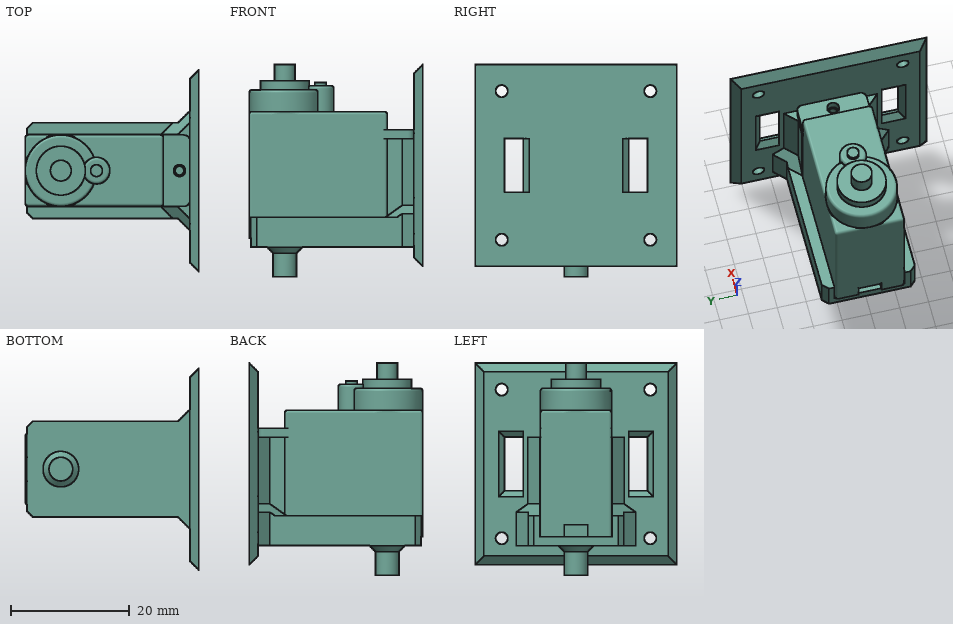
import cadquery as cq
import math


total_height = 35.75
fit_gap = 0.1
wall = 1.95
floor_thickness = 1.5
edge_round = 0.5

hub_radius = 6.0
case_half_width = hub_radius
case_left = -hub_radius
case_right = 17.25
case_bottom = floor_thickness
case_top = 22.8

hub_top = 26.5
collar_diameter = 8.25
collar_top = 28.03
shaft_diameter = 3.5
shaft_top = 30.75
idler_x = 6.0
idler_diameter = 4.5
idler_top = 27.2
idler_pin_diameter = 2.0
idler_pin_top = 27.75

tab_bottom = 18.27
tab_thickness = 1.5
tab_corner_radius = 1.0
tab_hole_diameter = 2.0
tab_hole_x = 20.0
slot_width = 4.0
slot_height = 2.0
slot_depth = 4.0

plate_size = 34.0
plate_thickness = 1.5
plate_top = shaft_top
plate_front = 21.75
plate_back = plate_front + plate_thickness
plate_center_z = plate_top - plate_size / 2
plate_hole_diameter = 2.0
plate_hole_offset = 12.5
window_inner_y = 8.9
window_width = 3.1
window_height = 9.0
window_bevel = 1.0

cradle_left = -5.72
cradle_height = 5.0
cradle_corner = 1.0
flare = 2.0
gusset = 2.0
pocket_half_width = case_half_width + fit_gap
cradle_half_width = pocket_half_width + wall
flare_start = plate_front - flare
screw_hole_diameter = 1.5
screw_hole_depth = 10.0
pivot_diameter = 4.0
pivot_bottom = shaft_top - total_height
pivot_base_diameter = 6.0
pivot_base_height = 1.0


def cylinder(x, diameter, bottom, top):
    """Vertical cylinder standing on the plane Y = 0."""
    return cq.Workplane("XY", origin=(x, 0, bottom)).circle(diameter / 2).extrude(top - bottom)


def block(x_min, x_max, half_width, z_min, z_max):
    """Box centred on Y = 0."""
    size = (x_max - x_min, 2 * half_width, z_max - z_min)
    return cq.Workplane("XY").box(*size, centered=(False, True, False)).translate((x_min, 0, z_min))


def make_crest():
    """Piece of the case edge that rises from the rounding to meet the hub at its tangent point.

    It is made for the case side facing -Y.
    """
    half_length = math.sqrt(hub_radius**2 - (hub_radius - edge_round) ** 2)
    side = -hub_radius
    inner = side + edge_round
    foot = case_top - edge_round
    crest = cq.Workplane("XY").box(2 * half_length, edge_round, edge_round, centered=(True, False, False))
    crest = crest.translate((0, side, foot))
    arc_inset = edge_round * (1 - math.cos(math.pi / 4))
    for direction in (-1, 1):
        corner = (
            cq.Workplane("YZ", origin=(direction * half_length, 0, 0))
            .moveTo(side, foot)
            .threePointArc((side + arc_inset, case_top - arc_inset), (inner, case_top))
            .lineTo(side, case_top)
            .close()
        )
        slope = cq.Vector(-direction * half_length, 0, edge_round)
        crest = crest.cut(cq.Workplane(cq.Solid.extrudeLinear(corner.wires().val(), [], slope)))
    return crest


def make_case():
    """Case with rounded upright and top edges."""
    case = block(case_left, case_right, case_half_width, case_bottom, case_top)
    case = case.edges("|Z").fillet(edge_round)
    case = case.faces(">Z").edges().fillet(edge_round)
    for angle in (-90, 0, 180):
        case = case.union(make_crest().rotate((0, 0, 0), (0, 0, 1), angle))
    return case


def make_gearbox():
    """Hub, collar and output shaft, with the idler boss beside them."""
    root = case_top - edge_round
    hub = cylinder(0, 2 * hub_radius, root, hub_top)
    hub = hub.faces(">Z").edges().fillet(edge_round)
    idler = cylinder(idler_x, idler_diameter, root, idler_top)
    idler = idler.faces(">Z").edges().fillet(edge_round)
    collar = cylinder(0, collar_diameter, case_top, collar_top)
    shaft = cylinder(0, shaft_diameter, case_top, shaft_top)
    idler_pin = cylinder(idler_x, idler_pin_diameter, case_top, idler_pin_top)
    return hub.union(idler).union(collar).union(shaft).union(idler_pin)


def make_tab():
    """Mounting tab that reaches the plate, rooted in the case past its rounded edges."""
    tab_top = tab_bottom + tab_thickness
    tab = block(case_right - edge_round, plate_front, case_half_width, tab_bottom, tab_top)
    tab = tab.edges("|Z and >X").fillet(tab_corner_radius)
    return tab.cut(cylinder(tab_hole_x, tab_hole_diameter, tab_bottom, tab_top))


def make_servo():
    slot_back = case_left + slot_depth
    slot_top = case_bottom + slot_height
    cable_slot = block(case_left, slot_back, slot_width / 2, case_bottom, slot_top)
    return make_case().union(make_gearbox()).union(make_tab()).cut(cable_slot)


def make_window():
    """Strap window on the +Y side.

    The front edges are bevelled at the top, at the bottom and on the outer side,
    and the back edge is bevelled on the inner side.
    """
    outer_y = window_inner_y + window_width
    half_height = window_height / 2
    tall = half_height + window_bevel
    far_y = outer_y + window_bevel
    plan = (
        cq.Workplane("XY", origin=(0, 0, plate_center_z))
        .moveTo(plate_front, window_inner_y)
        .lineTo(plate_front, far_y)
        .lineTo(plate_front + window_bevel, outer_y)
        .lineTo(plate_back, outer_y)
        .lineTo(plate_back, window_inner_y - window_bevel)
        .lineTo(plate_back - window_bevel, window_inner_y)
        .close()
        .extrude(tall, both=True)
    )
    end_profile = (
        cq.Workplane("XZ", origin=(0, 0, plate_center_z))
        .moveTo(plate_front, -tall)
        .lineTo(plate_front + window_bevel, -half_height)
        .lineTo(plate_back, -half_height)
        .lineTo(plate_back, half_height)
        .lineTo(plate_front + window_bevel, half_height)
        .lineTo(plate_front, tall)
        .close()
        .extrude(-far_y)
    )
    return plan.intersect(end_profile)


def make_plate():
    """Square plate whose edges are bevelled at 45 degrees over the full thickness."""
    plate = (
        cq.Workplane("YZ", origin=(plate_back, 0, plate_center_z))
        .rect(plate_size, plate_size)
        .extrude(-plate_thickness, taper=45)
    )
    holes = (
        cq.Workplane("YZ", origin=(plate_front, 0, plate_center_z))
        .rect(2 * plate_hole_offset, 2 * plate_hole_offset, forConstruction=True)
        .vertices()
        .circle(plate_hole_diameter / 2)
        .extrude(plate_thickness)
    )
    window = make_window()
    return plate.cut(holes).cut(window).cut(window.mirror("XZ"))


def flared(x_min, half_width, height):
    """Block from Z = 0 that widens at 45 degrees where it meets the plate."""
    wide = half_width + flare
    return (
        cq.Workplane("XY")
        .moveTo(x_min, -half_width)
        .lineTo(flare_start, -half_width)
        .lineTo(plate_front, -wide)
        .lineTo(plate_front, wide)
        .lineTo(flare_start, half_width)
        .lineTo(x_min, half_width)
        .close()
        .extrude(height)
    )


def make_gusset():
    """Sloping wedge on the +Y side, running along the flare of the post on top of the cradle."""
    wedge_length = gusset * math.sqrt(2)
    wedge_start = flare_start - wedge_length
    profile = (
        cq.Workplane("XZ", origin=(flare_start, pocket_half_width, cradle_height))
        .moveTo(0, 0)
        .lineTo(-wedge_length, 0)
        .lineTo(0, gusset)
        .close()
    )
    reach = plate_front - wedge_start
    along_flare = cq.Vector(reach, reach, 0)
    wedge = cq.Workplane(cq.Solid.extrudeLinear(profile.wires().val(), [], along_flare))
    return wedge.intersect(flared(cradle_left, cradle_half_width, cradle_height + gusset))


def make_pivot():
    """Pivot pin under the cradle, on the servo axis, with a conical base."""
    cone = cq.Solid.makeCone(pivot_diameter / 2, pivot_base_diameter / 2, pivot_base_height)
    base = cq.Workplane(cone).translate((0, 0, -pivot_base_height))
    return cylinder(0, pivot_diameter, pivot_bottom, 0).union(base)


def make_bracket():
    cradle = flared(cradle_left, cradle_half_width, cradle_height)
    cradle = cradle.edges("|Z and <X").chamfer(cradle_corner)
    gusset_wedge = make_gusset()
    post = flared(case_right, pocket_half_width, tab_bottom)
    pocket = block(case_left, case_right, pocket_half_width, floor_thickness, tab_bottom)
    screw_hole = cylinder(tab_hole_x, screw_hole_diameter, tab_bottom - screw_hole_depth, tab_bottom)
    bracket = cradle.union(gusset_wedge).union(gusset_wedge.mirror("XZ")).union(post)
    return bracket.cut(pocket).cut(screw_hole).union(make_plate()).union(make_pivot())


servo = make_servo()
bracket = make_bracket()
result = cq.Compound.makeCompound([servo.val(), bracket.val()])